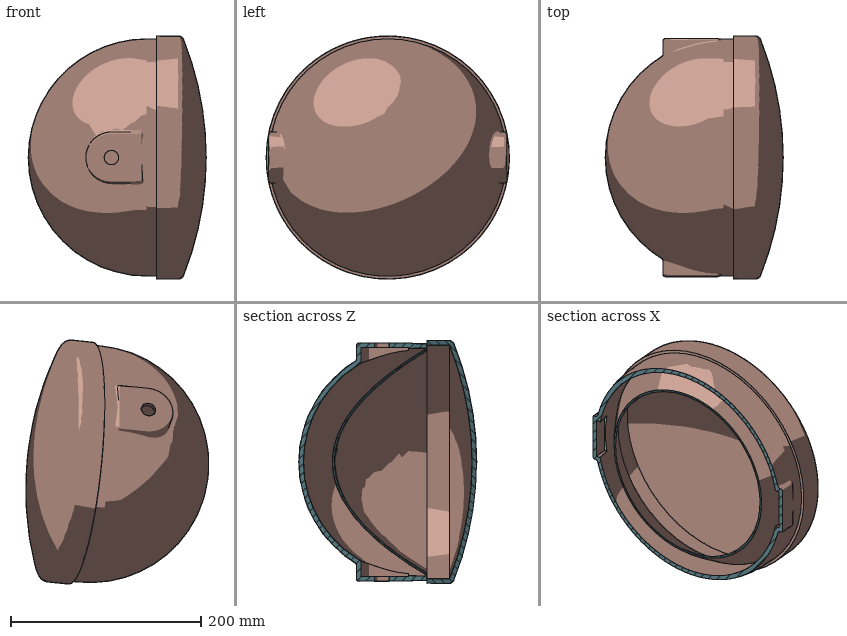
import cadquery as cq
import math

BOWL_RADIUS = 124.7
CAP_RADIUS = 127.8
JOINT_X = 10.0
WALL = 5.0

LENS_TIP_X = 62.4
LENS_CURVE_RADIUS = 334.9
CAP_EDGE_FILLET = 6.5

BOSS_CENTRE_X = -37.3
BOSS_RADIUS = 26.8
BOSS_END_X = -4.0
BOSS_FACE_Y = 125.3
BOSS_ROOT_Y = 76.7
BOSS_EDGE_FILLET = 2.8
BOSS_BASE_FILLET = 2.3
MOUNT_HOLE_DIAMETER = 15.0

REFLECTOR_VERTEX_X = -89.5
REFLECTOR_WALL = 2.5
REFLECTOR_RADIUS = BOWL_RADIUS - WALL

AXIS_START = (0, 0, 0)
AXIS_END = (1, 0, 0)


def bowl_solid(radius):
    """A half ball that runs on as a short cylinder up to the joint; its seam stays clear of the bosses."""
    profile = (
        cq.Workplane("XZ")
        .moveTo(-radius, 0)
        .radiusArc((0, radius), radius)
        .lineTo(JOINT_X, radius)
        .lineTo(JOINT_X, 0)
        .close()
    )
    return profile.revolve(360, AXIS_START, AXIS_END)


def boss_solid(inset):
    """A D-shaped pad pointing to -Y, with every side and its face moved in by inset."""
    radius = BOSS_RADIUS - inset
    end_x = BOSS_END_X - inset
    return (
        cq.Workplane("XZ", origin=(0, -BOSS_ROOT_Y, 0))
        .moveTo(end_x, radius)
        .lineTo(BOSS_CENTRE_X, radius)
        .threePointArc((BOSS_CENTRE_X - radius, 0), (BOSS_CENTRE_X, -radius))
        .lineTo(end_x, -radius)
        .close()
        .extrude(BOSS_FACE_Y - inset - BOSS_ROOT_Y)
    )


def both_sides(solid):
    """A feature on the -Y side together with its mirror image on the +Y side."""
    return [solid, solid.mirror("XZ")]


def make_housing():
    """A hollow bowl with a hollow, drilled boss on each side."""
    boss = boss_solid(0).edges("(|Y and >X) or <Y").fillet(BOSS_EDGE_FILLET)
    pocket = boss_solid(WALL)
    hole = cq.Workplane("XZ").center(BOSS_CENTRE_X, 0).circle(MOUNT_HOLE_DIAMETER / 2).extrude(CAP_RADIUS)

    housing = bowl_solid(BOWL_RADIUS)
    for pad in both_sides(boss):
        housing = housing.union(pad)

    bowl_face = max(housing.faces("%SPHERE").vals(), key=lambda face: face.Area())
    boss_outlines = [edge for wire in bowl_face.innerWires() for edge in wire.Edges()]
    housing = cq.Workplane(housing.val().fillet(BOSS_BASE_FILLET, boss_outlines))

    housing = housing.cut(bowl_solid(BOWL_RADIUS - WALL))
    for cutter in both_sides(pocket) + both_sides(hole):
        housing = housing.cut(cutter)
    return housing


def lens_solid(inset):
    """The skirt and domed front as a full solid, with its sides moved in by inset."""
    radius = CAP_RADIUS - inset
    tip_x = LENS_TIP_X - inset
    curve_radius = LENS_CURVE_RADIUS - inset
    curve_centre_x = tip_x - curve_radius
    edge_x = curve_centre_x + math.sqrt(curve_radius**2 - radius**2)
    profile = (
        cq.Workplane("XY")
        .moveTo(JOINT_X, 0)
        .lineTo(JOINT_X, radius)
        .lineTo(edge_x, radius)
        .radiusArc((tip_x, 0), curve_radius)
        .close()
    )
    return profile.revolve(360, AXIS_START, AXIS_END)


def make_cap():
    """A hollow cap with a rounded edge between its skirt and its lens."""
    lens = lens_solid(0).faces("%SPHERE").edges("%CIRCLE").edges("<X").fillet(CAP_EDGE_FILLET)
    return lens.cut(lens_solid(WALL))


def dish_solid(inset):
    """A full paraboloid whose open end lies at the joint."""
    vertex_x = REFLECTOR_VERTEX_X + inset
    rim_radius = REFLECTOR_RADIUS - inset
    depth = JOINT_X - vertex_x
    profile = (
        cq.Workplane("XY")
        .parametricCurve(lambda t: (vertex_x + depth * t**2, rim_radius * t), makeWire=False)
        .lineTo(JOINT_X, 0)
        .close()
    )
    return profile.revolve(360, AXIS_START, AXIS_END)


def make_reflector():
    """A thin parabolic dish, open toward the lens."""
    return dish_solid(0).cut(dish_solid(REFLECTOR_WALL))


housing = make_housing()
cap = make_cap()
reflector = make_reflector()

result = cq.Compound.makeCompound([body.solids().val() for body in (housing, cap, reflector)])